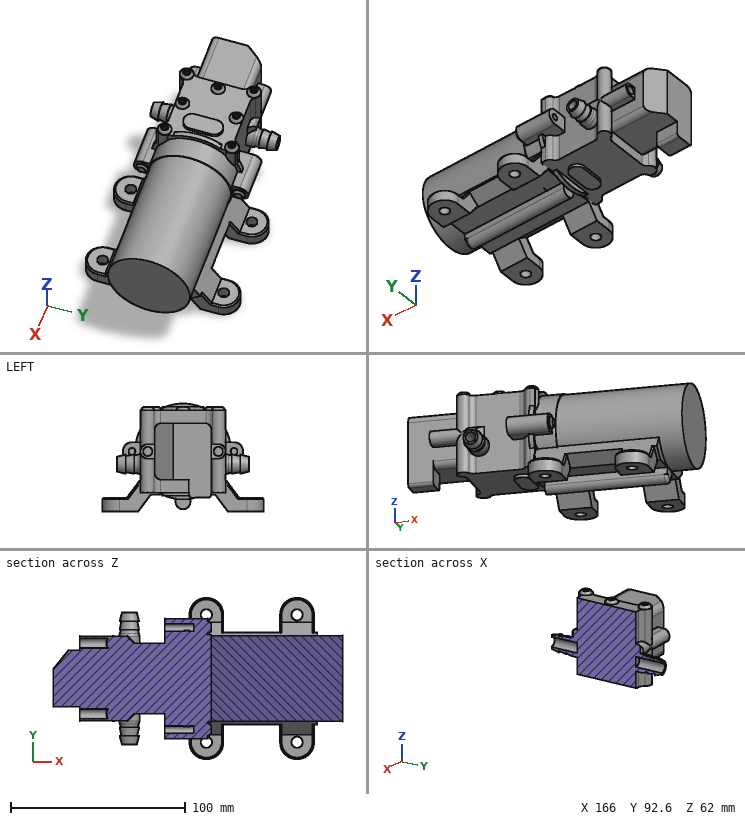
import cadquery as cq

LENGTH = 166.0
CAN_RADIUS = 24.7

HEAD_FRONT = 34.5
REAR_POST_X = 75.0
WALL_Y = 20.2
HEAD_TOP = 23.5
POST_RADIUS = 4.1
HOLLOW_RADIUS = 4.0
PAD_X = 66.0
PAD_WIDTH = 10.3
PAD_LENGTH = 23.7
PAD_HEIGHT = 2.0

FLANGE_RADIUS = 27.5
FLANGE_BACK = 78.0
COLLAR_RADIUS = 25.2
COLLAR_BACK = 90.6

SWITCH_Y = 16.3
SWITCH_TOP = 16.3
SWITCH_FILLET = 4.0
BEVEL_LENGTH = 8.8
BEVEL_DEPTH = 10.8
FOOT_LENGTH = 15.1
FOOT_INNER_Y = -3.3
FOOT_BOTTOM = -26.5
FOOT_FILLET = 2.0

BOSS_MITRE_X = 46.6
BOSS_BORE_RADIUS = 2.7

BARB_X = 43.6
BARB_Z = -7.3
BARB_TIP_Y = 37.8
BARB_TIP_RADIUS = 4.3
BARB_RIDGE_RADIUS = 5.6
BARB_RIDGE_OUTER_Y = 32.9
BARB_RIDGE_INNER_Y = 27.9
BARB_OUTER_NECK_RADIUS = 4.6
BARB_INNER_NECK_RADIUS = 5.0
BARB_COLLAR_Y = 24.2
BARB_COLLAR_RADIUS = 6.0
BARB_COLLAR_CHAMFER_Y = 25.9
BARB_COLLAR_EDGE_RADIUS = 5.5
BARB_BORE_RADIUS = 3.0

EAR_FRONT = 63.9
EAR_BACK = 88.5
EAR_Y = 29.2
EAR_RADIUS = 5.3
EAR_BORE_RADIUS = 2.0
EAR_BORE_DEPTH = 16.6
EAR_STUB_RADIUS = 3.7
EAR_STUB_CHAMFER = 1.3

BRACKET_BACK = 151.3
BASE_Z = -34.5
PAD_TOP_Z = -26.5
FOOT_WIDTH = 19.5
FOOT_SPACING = 52.0
HALF_WIDTH = 46.3
FOOT_HOLE_RADIUS = 3.2
FOOT_CHAMFER = 1.0
LEG_OUTER_Y = 32.2
LEG_INNER_Y = 25.7
LEG_SLOPE = 4 / 3
SADDLE_Y = 26.4
LEG_ROOT_Y = 16.3
SADDLE_FLOOR = -24.9
RAIL_RADIUS = 4.3
RAIL_BOTTOM = -33.2
RAIL_FILLET = 2.0

SCREW_RADIUS = 4.0
SCREW_SHOULDER_RADIUS = 3.3
SCREW_SHOULDER_HEIGHT = 1.2
SCREW_TOP_RADIUS = 2.2
SCREW_HEIGHT = 2.0
RECESS_LENGTH = 3.7
RECESS_WIDTH = 1.2
RECESS_DEPTH = 1.2
MID_SCREW_X = (HEAD_FRONT + REAR_POST_X) / 2
MID_SCREW_Y = 16.3
FRONT_SCREW_X = 38.5

SIDES = (1, -1)
MARGIN = 0.2


def box(x_range, y_range, z_range):
    """A block between two limits along each axis."""
    (x0, x1), (y0, y1), (z0, z1) = x_range, y_range, z_range
    return cq.Workplane("XY").box(x1 - x0, y1 - y0, z1 - z0, centered=False).translate((x0, y0, z0))


def rod(x0, x1, radius, y=0.0, z=0.0):
    """A cylinder along X from x0 to x1."""
    return cq.Workplane("YZ", origin=(x0, y, z)).circle(radius).extrude(x1 - x0)


def both_sides(half):
    """A shape made on the +Y side, joined with its mirror image."""
    return half.union(half.mirror("XZ"))


def make_head_block():
    height = 2 * HEAD_TOP
    floor = cq.Workplane("XY", origin=(0, 0, -HEAD_TOP))
    block = box((HEAD_FRONT, FLANGE_BACK), (-WALL_Y, WALL_Y), (-HEAD_TOP, HEAD_TOP))
    corners = [(x, side * WALL_Y) for x in (HEAD_FRONT, REAR_POST_X) for side in SIDES]
    block = block.union(floor.pushPoints(corners).circle(POST_RADIUS).extrude(height))

    reach = POST_RADIUS + MARGIN
    hollows = cq.selectors.BoxSelector(
        (HEAD_FRONT - reach, -WALL_Y - MARGIN, -MARGIN),
        (REAR_POST_X - MARGIN, WALL_Y + MARGIN, MARGIN),
    )
    block = block.edges("|Z").edges(hollows).fillet(HOLLOW_RADIUS)

    post_y = WALL_Y + POST_RADIUS
    block = block.union(box((REAR_POST_X, FLANGE_BACK), (-post_y, post_y), (-HEAD_TOP, HEAD_TOP)))

    pad_height = height + 2 * PAD_HEIGHT
    pad = (
        cq.Workplane("XY", origin=(PAD_X, 0, -HEAD_TOP - PAD_HEIGHT))
        .slot2D(PAD_LENGTH, PAD_WIDTH, 90)
        .extrude(pad_height)
    )
    return block.union(pad)


def make_switch():
    body = (
        cq.Workplane("XY", origin=(0, 0, -SWITCH_TOP))
        .moveTo(0, -SWITCH_Y)
        .lineTo(HEAD_FRONT, -SWITCH_Y)
        .lineTo(HEAD_FRONT, SWITCH_Y)
        .lineTo(BEVEL_LENGTH, SWITCH_Y)
        .lineTo(0, SWITCH_Y - BEVEL_DEPTH)
        .close()
        .extrude(2 * SWITCH_TOP)
    )
    rounded = box((0, HEAD_FRONT), (-SWITCH_Y, SWITCH_Y), (-SWITCH_TOP, SWITCH_TOP))
    rounded = rounded.edges("|X").fillet(SWITCH_FILLET)
    foot = box((0, FOOT_LENGTH), (-SWITCH_Y, FOOT_INNER_Y), (FOOT_BOTTOM, 0))
    foot = foot.edges("|X and <Z").fillet(FOOT_FILLET)
    return body.intersect(rounded).union(foot)


def make_bosses():
    outer_y = WALL_Y + POST_RADIUS
    boss = rod(FOOT_LENGTH, BOSS_MITRE_X, POST_RADIUS, WALL_Y)
    boss = boss.union(
        box((FOOT_LENGTH, BOSS_MITRE_X), (SWITCH_Y, WALL_Y), (-POST_RADIUS, POST_RADIUS))
    )
    mitre = (
        cq.Workplane("XY", origin=(0, 0, -POST_RADIUS))
        .moveTo(BOSS_MITRE_X, WALL_Y)
        .lineTo(BOSS_MITRE_X, outer_y)
        .lineTo(BOSS_MITRE_X - POST_RADIUS, outer_y)
        .close()
        .extrude(2 * POST_RADIUS)
    )
    bore = rod(FOOT_LENGTH, HEAD_FRONT, BOSS_BORE_RADIUS, WALL_Y)
    return both_sides(boss.cut(mitre).cut(bore))


def make_barbs():
    barb = (
        cq.Workplane("XY")
        .moveTo(0, 0)
        .lineTo(BARB_COLLAR_RADIUS, 0)
        .lineTo(BARB_COLLAR_RADIUS, BARB_COLLAR_Y)
        .lineTo(BARB_COLLAR_EDGE_RADIUS, BARB_COLLAR_CHAMFER_Y)
        .lineTo(BARB_INNER_NECK_RADIUS, BARB_RIDGE_INNER_Y)
        .lineTo(BARB_RIDGE_RADIUS, BARB_RIDGE_INNER_Y)
        .lineTo(BARB_OUTER_NECK_RADIUS, BARB_RIDGE_OUTER_Y)
        .lineTo(BARB_RIDGE_RADIUS, BARB_RIDGE_OUTER_Y)
        .lineTo(BARB_TIP_RADIUS, BARB_TIP_Y)
        .lineTo(0, BARB_TIP_Y)
        .close()
        .revolve(360, (0, 0, 0), (0, 1, 0))
    )
    bore = cq.Workplane("XZ").circle(BARB_BORE_RADIUS).extrude(-BARB_TIP_Y)
    return both_sides(barb.cut(bore).translate((BARB_X, 0, BARB_Z)))


def make_ears():
    ear = rod(EAR_FRONT, EAR_BACK, EAR_RADIUS, EAR_Y)
    ear = ear.union(box((EAR_FRONT, EAR_BACK), (0, EAR_Y), (-EAR_RADIUS, EAR_RADIUS)))
    stub = rod(EAR_BACK, COLLAR_BACK, EAR_STUB_RADIUS, EAR_Y).faces(">X").chamfer(EAR_STUB_CHAMFER)
    bore = rod(EAR_FRONT, EAR_FRONT + EAR_BORE_DEPTH, EAR_BORE_RADIUS, EAR_Y)
    return both_sides(ear.union(stub).cut(bore))


def make_head():
    head = make_head_block()
    head = head.union(rod(REAR_POST_X, FLANGE_BACK, FLANGE_RADIUS))
    head = head.union(rod(FLANGE_BACK, COLLAR_BACK, COLLAR_RADIUS))
    head = head.union(make_ears())
    head = head.union(make_switch())
    return head.union(make_bosses()).union(make_barbs())


def make_motor():
    return rod(COLLAR_BACK, LENGTH, CAN_RADIUS)


def leg_upper_z(y):
    """Height of the sloping upper face of a leg."""
    return PAD_TOP_Z + (LEG_OUTER_Y - y) * LEG_SLOPE


def leg_lower_z(y):
    """Height of the sloping lower face of a leg."""
    return BASE_Z + (LEG_INNER_Y - y) * LEG_SLOPE


def make_leg(x0):
    """A sloping leg with a round-ended, chamfered foot, on the +Y side."""
    radius = FOOT_WIDTH / 2
    foot_y = HALF_WIDTH - radius
    outline = (
        cq.Workplane("XY", origin=(x0, 0, BASE_Z))
        .lineTo(0, foot_y)
        .threePointArc((radius, HALF_WIDTH), (FOOT_WIDTH, foot_y))
        .lineTo(FOOT_WIDTH, 0)
        .close()
        .extrude(-BASE_Z)
    )
    profile = (
        cq.Workplane("YZ", origin=(x0, 0, 0))
        .moveTo(LEG_INNER_Y, BASE_Z)
        .lineTo(HALF_WIDTH, BASE_Z)
        .lineTo(HALF_WIDTH, PAD_TOP_Z)
        .lineTo(LEG_OUTER_Y, PAD_TOP_Z)
        .lineTo(LEG_ROOT_Y, leg_upper_z(LEG_ROOT_Y))
        .lineTo(LEG_ROOT_Y, leg_lower_z(LEG_ROOT_Y))
        .close()
        .extrude(FOOT_WIDTH)
    )
    leg = outline.intersect(profile)

    rim = cq.selectors.BoxSelector(
        (x0 - MARGIN, LEG_ROOT_Y + MARGIN, PAD_TOP_Z - MARGIN),
        (x0 + FOOT_WIDTH + MARGIN, HALF_WIDTH + MARGIN, 0),
    )
    return leg.edges(rim).edges("not |X").chamfer(FOOT_CHAMFER)


def make_saddle():
    """The body between the legs, cut square to the legs along its lower edges."""
    edge_z = leg_upper_z(SADDLE_Y)
    floor_y = SADDLE_Y - (edge_z - SADDLE_FLOOR) * LEG_SLOPE
    points = [
        (SADDLE_Y, edge_z),
        (LEG_ROOT_Y, leg_upper_z(LEG_ROOT_Y)),
        (-LEG_ROOT_Y, leg_upper_z(LEG_ROOT_Y)),
        (-SADDLE_Y, edge_z),
        (-floor_y, SADDLE_FLOOR),
        (floor_y, SADDLE_FLOOR),
    ]
    length = BRACKET_BACK - FLANGE_BACK
    return cq.Workplane("YZ", origin=(FLANGE_BACK, 0, 0)).polyline(points).close().extrude(length)


def make_rail():
    """A rail with a round bottom edge under the motor, rounded at its rear end."""
    axis_z = RAIL_BOTTOM + RAIL_RADIUS
    bottom = rod(FLANGE_BACK, BRACKET_BACK, RAIL_RADIUS, z=axis_z).faces(">X").edges().fillet(RAIL_FILLET)
    top = box((FLANGE_BACK, BRACKET_BACK), (-RAIL_RADIUS, RAIL_RADIUS), (axis_z, -CAN_RADIUS))
    return bottom.union(top)


def make_bracket():
    bracket = make_saddle().union(make_rail())
    for x0 in (FLANGE_BACK, FLANGE_BACK + FOOT_SPACING):
        bracket = bracket.union(both_sides(make_leg(x0)))
    hole_y = HALF_WIDTH - FOOT_WIDTH / 2
    first_hole_x = FLANGE_BACK + FOOT_WIDTH / 2
    holes = [(first_hole_x + step, side * hole_y) for step in (0, FOOT_SPACING) for side in SIDES]
    bracket = bracket.cut(
        cq.Workplane("XY", origin=(0, 0, BASE_Z))
        .pushPoints(holes)
        .circle(FOOT_HOLE_RADIUS)
        .extrude(PAD_TOP_Z - BASE_Z)
    )
    bracket = bracket.cut(rod(FLANGE_BACK, COLLAR_BACK, COLLAR_RADIUS))
    return bracket.cut(rod(COLLAR_BACK, BRACKET_BACK, CAN_RADIUS))


def make_screw(x, y):
    """A rounded screw head with a cross recess, seated on the top of the pump head."""
    head = (
        cq.Workplane("XZ")
        .moveTo(0, 0)
        .lineTo(SCREW_RADIUS, 0)
        .threePointArc(
            (SCREW_SHOULDER_RADIUS, SCREW_SHOULDER_HEIGHT), (SCREW_TOP_RADIUS, SCREW_HEIGHT)
        )
        .lineTo(0, SCREW_HEIGHT)
        .close()
        .revolve(360, (0, 0, 0), (0, 1, 0))
    )
    floor = cq.Workplane("XY", origin=(0, 0, SCREW_HEIGHT - RECESS_DEPTH))
    for bar in ((RECESS_LENGTH, RECESS_WIDTH), (RECESS_WIDTH, RECESS_LENGTH)):
        head = head.cut(floor.rect(*bar).extrude(RECESS_DEPTH))
    return head.translate((x, y, HEAD_TOP))


def make_screws():
    places = [(FRONT_SCREW_X, 0)]
    for side in SIDES:
        places += [(x, side * WALL_Y) for x in (HEAD_FRONT, REAR_POST_X)]
        places.append((MID_SCREW_X, side * MID_SCREW_Y))
    return [make_screw(x, y) for x, y in places]


head = make_head()
motor = make_motor()
bracket = make_bracket()
screws = make_screws()

result = cq.Compound.makeCompound(
    [head.val(), motor.val(), bracket.val(), *[screw.val() for screw in screws]]
)